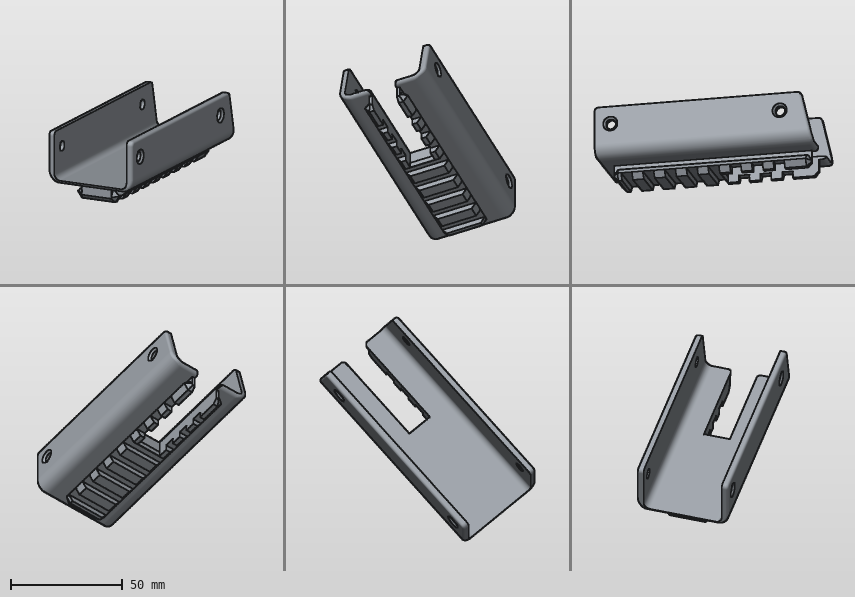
import cadquery as cq
import math

width = 42.4
length = 100.2
channel_height = 23.8
rail_height = 7.5

wall = 3.0
floor = 1.5
outer_bend = 6.0
inner_bend = 3.0
rake = 13.3
end_radius = 2.0
rim_radius = 1.2
rear_overhang = end_radius / math.tan(math.radians((90 - rake) / 2)) - end_radius
rear_foot = length + rear_overhang
rear_top = rear_foot - channel_height * math.tan(math.radians(rake))

slot_width = 12.0
slot_length = 45.1
slot_corner_radius = 2.0

hole_diameter = 4.5
sink_diameter = 6.6
hole_drop = 8.4
hole_places = (7.6, 85.7)

rail_start = 6.0
rail_end = 97.0
neck_width = 14.8
ledge_width = 16.2
rail_width = 20.9
foot_width = 16.6
tip_height = 3.0
flank_height = 2.4
end_bevel = 2.1
groove_width = 5.0
groove_pitch = 10.0
groove_count = 8
first_groove = 9.8


def make_trough(trough_width, bend_radius, base_z):
    """Over-long block with its two lower edges bent, standing on base_z."""
    return (
        cq.Workplane("XY")
        .box(trough_width, 2 * length, channel_height, centered=(True, True, False))
        .edges("|Y and <Z")
        .fillet(bend_radius)
        .translate((0, length / 2, base_z))
    )


def make_channel():
    """Bent block trimmed to the side outline, hollowed from above, with rounded wall edges."""
    side = (
        cq.Workplane("YZ")
        .polyline([(0, 0), (rear_foot, 0), (rear_top, channel_height), (0, channel_height)])
        .close()
        .extrude(width / 2, both=True)
        .edges("|X")
        .fillet(end_radius)
    )
    channel = side.intersect(make_trough(width, outer_bend, 0))
    for outer_face in ("<X", ">X"):
        channel = channel.faces(outer_face).edges(">Z").fillet(rim_radius)
    return channel.cut(make_trough(width - 2 * wall, inner_bend, floor))


def make_rail():
    """Dovetail bar with bevelled ends, a neck up to the floor, and cross grooves."""
    rail_length = rail_end - rail_start
    tip_z = tip_height - rail_height
    ledge_z = tip_z + flank_height
    right_side = [
        (ledge_width / 2, ledge_z),
        (rail_width / 2, tip_z),
        (foot_width / 2, -rail_height),
    ]
    left_side = [(-x, z) for x, z in reversed(right_side)]
    dovetail = (
        cq.Workplane("XZ", origin=(0, rail_end, 0))
        .polyline(right_side + left_side)
        .close()
        .extrude(rail_length)
        .faces("<Y or >Y")
        .edges("not >Z")
        .chamfer(end_bevel)
    )
    neck = (
        cq.Workplane("XY", origin=(0, rail_start, -rail_height + end_bevel))
        .box(neck_width, rail_length, rail_height - end_bevel, centered=(True, False, False))
    )
    rail = dovetail.union(neck)
    for index in range(groove_count):
        groove = (
            cq.Workplane("XY", origin=(0, first_groove + index * groove_pitch, -rail_height))
            .box(rail_width, groove_width, tip_height, centered=(True, False, False))
        )
        rail = rail.cut(groove)
    return rail


def make_slot():
    """Cutter for the rear slot, flaring at its mouth and deep enough to split the rail too."""
    half_width = slot_width / 2
    half_mouth = half_width + slot_corner_radius
    return (
        cq.Workplane("XY", origin=(0, 0, -rail_height))
        .moveTo(-half_width, length - slot_length)
        .lineTo(half_width, length - slot_length)
        .lineTo(half_width, length - slot_corner_radius)
        .radiusArc((half_mouth, length), slot_corner_radius)
        .lineTo(half_mouth, rear_foot)
        .lineTo(-half_mouth, rear_foot)
        .lineTo(-half_mouth, length)
        .radiusArc((-half_width, length - slot_corner_radius), slot_corner_radius)
        .close()
        .extrude(rail_height + channel_height)
    )


def make_screw_holes():
    """Cutters for the cross holes, countersunk on the outer faces."""
    sink_depth = (sink_diameter - hole_diameter) / 2
    half = (
        cq.Workplane("XY")
        .polyline([
            (0, 0),
            (hole_diameter / 2, 0),
            (hole_diameter / 2, width / 2 - sink_depth),
            (sink_diameter / 2, width / 2),
            (0, width / 2),
        ])
        .close()
        .revolve(360, (0, 0), (0, 1))
        .rotate((0, 0, 0), (0, 0, 1), -90)
    )
    drill = half.union(half.mirror("YZ"))
    holes = cq.Workplane("XY")
    for y in hole_places:
        holes = holes.add(drill.translate((0, y, channel_height - hole_drop)))
    return holes.combine()


channel = make_channel()
slot = make_slot()
result = channel.union(make_rail()).cut(slot).cut(make_screw_holes())